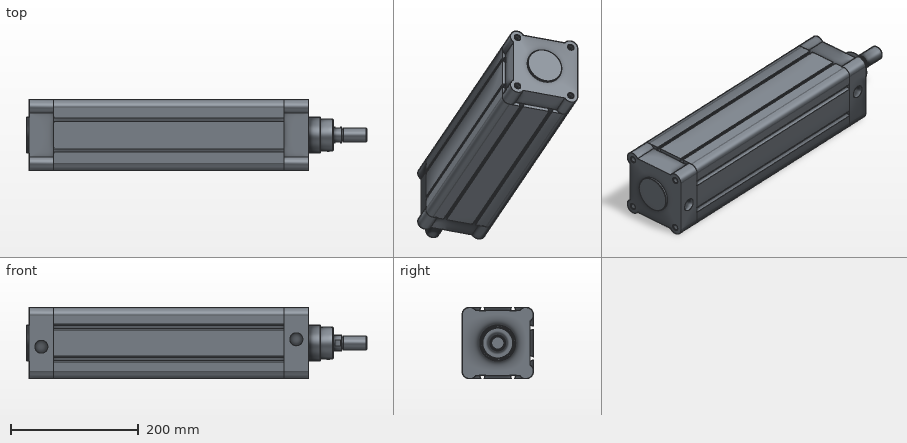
import cadquery as cq
import math


side = 112.0
half = side / 2
corner_radius = 11.5
corner_offset = half - corner_radius

total_length = 533.0
boss_length = 3.5
cap_length = 38.5
tube_length = 361.5
tube_start = boss_length + cap_length
tube_end = tube_start + tube_length
front_face = tube_end + cap_length

cap_recess = 5.5
boss_radius = 28.0
boss_chamfer = 0.5
port_radius = 10.0
port_depth = 16.0
port_rise = 6.0
screw_radius = 4.0
screw_depth = 16.0
screw_chamfer = 1.0

collar_length = 18.5
collar_chamfer = 1.0
guide_radius = 25.0
guide_bulge = 0.5
guide_length = 20.0
guide_chamfer = 1.5
guide_end = front_face + collar_length + guide_length

dovetail_offset = 24.0
open_slot_offset = 25.0
slot_depth = 6.0
slot_narrow = 5.0
slot_wide = 9.0

rod_radius = 12.0
rod_length = 13.5
rod_chamfer = 1.0
neck_radius = 9.5
neck_length = 2.0
thread_radius = 11.0
thread_chamfer = 1.5
flat_start = 2.0
flat_length = 9.0
flat_half_width = 11.0


def rounded_block(start, length):
    """Square block along X with rounded long edges."""
    block = cq.Workplane("YZ", origin=(start, 0, 0)).rect(side, side).extrude(length)
    return block.edges("|X").fillet(corner_radius)


def disc(start, radius, length):
    """Cylinder along X, centred on the axis."""
    return cq.Workplane("YZ", origin=(start, 0, 0)).circle(radius).extrude(length)


def corner_cylinders(start, radius, length, taper=0):
    """One cylinder or cone along X on each of the four corner centres."""
    section = cq.Workplane("YZ", origin=(start, 0, 0))
    corners = section.rect(2 * corner_offset, 2 * corner_offset, forConstruction=True).vertices()
    return corners.circle(radius).extrude(length, taper=taper)


def around_corner(y_sign, z_sign, degrees):
    """Point on the round of one corner, at an angle measured from +Y."""
    angle = math.radians(degrees)
    return (
        y_sign * corner_offset + corner_radius * math.cos(angle),
        z_sign * corner_offset + corner_radius * math.sin(angle),
    )


def cap_block(start, port_z):
    """Cap recessed on +Y, +Z and -Z between round corners, with a port in its -Y face."""
    meet = math.degrees(math.asin((corner_radius - cap_recess) / corner_radius))
    outline = (
        cq.Workplane("YZ", origin=(start, 0, 0))
        .moveTo(*around_corner(-1, -1, 180))
        .lineTo(*around_corner(-1, 1, 180))
        .threePointArc(around_corner(-1, 1, 90), around_corner(-1, 1, meet))
        .lineTo(*around_corner(1, 1, 180 - meet))
        .threePointArc(around_corner(1, 1, 45), around_corner(1, 1, meet - 90))
        .lineTo(*around_corner(1, -1, 90 - meet))
        .threePointArc(around_corner(1, -1, -45), around_corner(1, -1, 180 + meet))
        .lineTo(*around_corner(-1, -1, -meet))
        .threePointArc(around_corner(-1, -1, -90), around_corner(-1, -1, 180))
        .close()
    )
    port = cq.Workplane("XZ", origin=(start + cap_length / 2, -half, port_z))
    return outline.extrude(cap_length).cut(port.circle(port_radius).extrude(-port_depth))


def make_rear_cap():
    cap = cap_block(boss_length, -port_rise)
    boss = disc(0, boss_radius, boss_length).faces("<X").chamfer(boss_chamfer)
    screw_holes = corner_cylinders(boss_length, screw_radius, screw_depth)
    countersinks = corner_cylinders(boss_length, screw_radius + screw_chamfer, screw_chamfer, taper=45)
    return cap.cut(screw_holes).cut(countersinks).union(boss)


def make_guide():
    """Slightly barrel-shaped ring around the rod exit, chamfered at its free end."""
    start = front_face + collar_length
    barrel_end = guide_end - guide_chamfer
    profile = (
        cq.Workplane("XY")
        .moveTo(start, 0)
        .lineTo(start, guide_radius)
        .threePointArc(((start + barrel_end) / 2, guide_radius + guide_bulge), (barrel_end, guide_radius))
        .lineTo(guide_end, guide_radius - guide_chamfer)
        .lineTo(guide_end, 0)
        .close()
    )
    return profile.revolve(360, (0, 0, 0), (1, 0, 0))


def make_front_cap():
    cap = cap_block(tube_end, port_rise)
    collar = disc(front_face, boss_radius, collar_length).faces(">X").chamfer(collar_chamfer)
    return cap.union(collar).union(make_guide())


def slot(angle, shift, mouth, floor):
    """Trapezoidal slot along the tube in the +Z face, turned about X by the angle."""
    corners = [(-mouth / 2, 0), (mouth / 2, 0), (floor / 2, -slot_depth), (-floor / 2, -slot_depth)]
    section = cq.Workplane("YZ", origin=(tube_start, shift, half)).polyline(corners).close()
    return section.extrude(tube_length).rotate((0, 0, 0), (1, 0, 0), angle)


def make_tube():
    tube = rounded_block(tube_start, tube_length)
    for hand in (-1, 1):
        for angle in (0, 180, -90):
            tube = tube.cut(slot(angle, hand * dovetail_offset, slot_narrow, slot_wide))
        tube = tube.cut(slot(90, hand * open_slot_offset, slot_wide, slot_narrow))
    return tube


def make_rod():
    rod = disc(guide_end, rod_radius, rod_length).faces(">X").chamfer(rod_chamfer)
    flats = cq.Workplane("XY").box(flat_length, 2 * rod_radius, 2 * rod_radius)
    flats = flats.cut(cq.Workplane("XY").box(flat_length, 2 * flat_half_width, 2 * rod_radius))
    rod = rod.cut(flats.translate((guide_end + flat_start + flat_length / 2, 0, 0)))
    neck_start = guide_end + rod_length
    thread_start = neck_start + neck_length
    neck = disc(neck_start, neck_radius, neck_length)
    thread = disc(thread_start, thread_radius, total_length - thread_start)
    thread = thread.faces(">X").chamfer(thread_chamfer)
    return rod.union(neck).union(thread)


rear_cap = make_rear_cap()
tube = make_tube()
front_cap = make_front_cap()
rod = make_rod()

result = cq.Compound.makeCompound([rear_cap.val(), tube.val(), front_cap.val(), rod.val()])